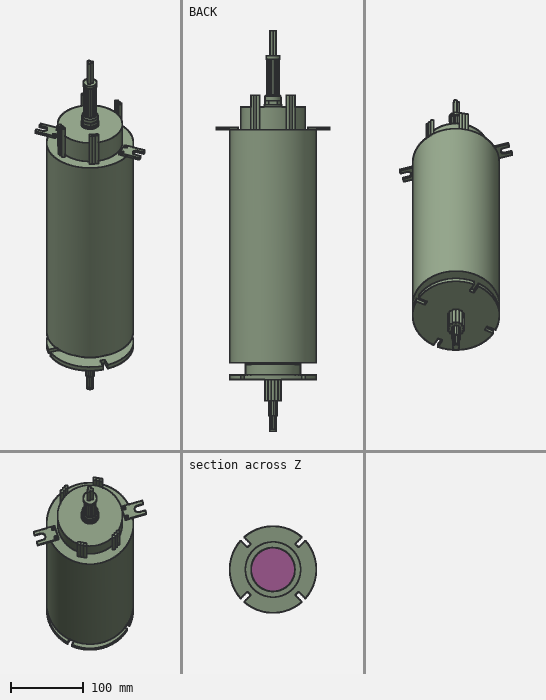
import cadquery as cq
import math

total_height = 549.5
disc_bottom = 71.0
disc_top = 77.5
body_bottom = 94.0
body_top = 414.0
boss_top = 445.0

body_diameter = 119.0
body_radius = body_diameter / 2
boss_radius = 44.5
neck_radius = 38.0
groove_radius = 30.0
groove_height = 2.0

lower_block_radius = 11.5
lower_block_bottom = 42.0
lower_shank_radius = 6.0
lower_shank_bottom = 21.5
rod_radius = 4.65
tip_height = 3.0

wire_overlap = 1.04
block_wires = 12
shank_wires = 9
lower_rod_wires = 7
stem_wires = 16
upper_rod_wires = 3
upper_rod_turn = 30

washer_radius = 12.0
washer_height = 3.0
hex_across_corners = 22.5
hex_height = 5.5
hex_sides = 6
cap_radius = 11.0
cap_height = 8.0
cap_chamfer = 2.0
stem_radius = 8.0
collar_radius = 9.5
collar_bottom = 510.5
collar_top = 515.5

notch_count = 4
first_notch_angle = 45
notch_width = 6.5
notch_depth = 13.0

tab_tip = 78.0
tab_root = 48.0
tab_width = 20.0
tab_thickness = 3.5
tab_slot_width = 10.0
tab_slot_depth = 14.0
tab_hole_diameter = 4.0
tab_hole_inset = 3.5

post_angles = (60, 120, 240, 300)
post_circle_radius = 48.5
post_wire_count = 3
post_wire_radius = 2.3
post_wire_pitch = 4.3
post_top = 461.0


def cylinder(radius, bottom, top):
    return cq.Workplane("XY").workplane(offset=bottom).circle(radius).extrude(top - bottom)


def wire_bundle(radius, wires, bottom, top, turn=0):
    """A ring of slightly merged wires around a core that reaches their contact points."""
    half_step = math.pi / wires
    ring_radius = radius / (1 + wire_overlap * math.sin(half_step))
    core_radius = ring_radius * math.cos(half_step)
    wire_radius = radius - ring_radius
    height = top - bottom
    bundle = cylinder(core_radius, bottom, top)
    ring = (
        cq.Workplane("XY")
        .workplane(offset=bottom)
        .polarArray(ring_radius, turn, 360, wires)
        .circle(wire_radius)
        .extrude(height)
    )
    return bundle.union(ring)


def main_body():
    body = cylinder(body_radius, body_bottom, body_top)
    body = body.union(cylinder(boss_radius, body_top, boss_top))
    neck_top = body_bottom - groove_height
    body = body.union(cylinder(groove_radius, neck_top, body_bottom))
    body = body.union(cylinder(neck_radius, disc_top, neck_top))
    return body.union(notched_disc())


def notched_disc():
    disc = cylinder(body_radius, disc_bottom, disc_top)
    thickness = disc_top - disc_bottom
    notch = (
        cq.Workplane("XY")
        .workplane(offset=disc_bottom)
        .center(body_radius, 0)
        .rect(2 * notch_depth, notch_width)
        .extrude(thickness)
    )
    for i in range(notch_count):
        angle = first_notch_angle + i * 360 / notch_count
        disc = disc.cut(notch.rotate((0, 0, 0), (0, 0, 1), angle))
    return disc


def lower_spindle():
    spindle = wire_bundle(lower_block_radius, block_wires, lower_block_bottom, disc_bottom)
    shank = wire_bundle(lower_shank_radius, shank_wires, lower_shank_bottom, lower_block_bottom)
    rod = wire_bundle(rod_radius, lower_rod_wires, tip_height, lower_shank_bottom)
    return spindle.union(shank).union(rod).union(cylinder(rod_radius, 0, tip_height))


def upper_stem():
    washer_top = boss_top + washer_height
    hex_top = washer_top + hex_height
    cap_top = hex_top + cap_height
    stem = cylinder(washer_radius, boss_top, washer_top)
    hexagon = (
        cq.Workplane("XY")
        .workplane(offset=washer_top)
        .polygon(hex_sides, hex_across_corners)
        .extrude(hex_height)
    )
    cap = cylinder(cap_radius, hex_top, cap_top).faces(">Z").chamfer(cap_chamfer)
    stem = stem.union(hexagon).union(cap)
    stem = stem.union(wire_bundle(stem_radius, stem_wires, cap_top, collar_bottom))
    stem = stem.union(cylinder(collar_radius, collar_bottom, collar_top))
    return stem.union(wire_bundle(rod_radius, upper_rod_wires, collar_top, total_height, upper_rod_turn))


def mounting_tab():
    length = tab_tip - tab_root
    tab = cq.Workplane("XY").box(length, tab_width, tab_thickness, centered=(False, True, False))
    slot = (
        cq.Workplane("XY")
        .center(length, 0)
        .slot2D(2 * tab_slot_depth, tab_slot_width)
        .extrude(tab_thickness)
    )
    hole_y = tab_width / 2 - tab_hole_inset
    holes = (
        cq.Workplane("XY")
        .pushPoints([(tab_hole_inset, hole_y), (tab_hole_inset, -hole_y)])
        .circle(tab_hole_diameter / 2)
        .extrude(tab_thickness)
    )
    return tab.cut(slot).cut(holes).translate((tab_root, 0, body_top))


def post():
    middle = (post_wire_count - 1) / 2
    centers = [(post_circle_radius, (i - middle) * post_wire_pitch) for i in range(post_wire_count)]
    return (
        cq.Workplane("XY")
        .workplane(offset=body_top)
        .pushPoints(centers)
        .circle(post_wire_radius)
        .extrude(post_top - body_top)
    )


result = main_body().union(lower_spindle()).union(upper_stem())
for tab_angle in (0, 180):
    result = result.union(mounting_tab().rotate((0, 0, 0), (0, 0, 1), tab_angle))
for post_angle in post_angles:
    result = result.union(post().rotate((0, 0, 0), (0, 0, 1), post_angle))